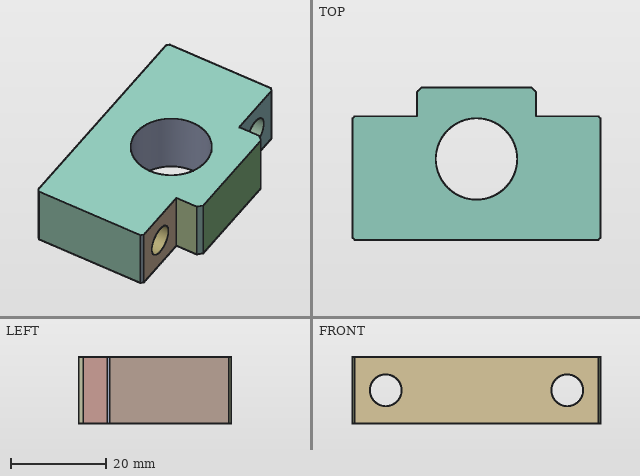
import cadquery as cq

length = 52.0
depth = 32.0
height = 14.0
tongue_width = 25.0
tongue_depth = 6.0
body_depth = depth - tongue_depth

body_chamfer = 0.5
tongue_chamfer = 1.0

bore_diameter = 17.0
bore_from_front = 17.0
hole_diameter = 6.6
hole_spacing = 38.0


def chamfered_block(width, block_depth, corners, chamfer):
    """Block resting on Z = 0, front face on Y = 0, with chosen vertical edges chamfered."""
    block = cq.Workplane("XY").box(width, block_depth, height, centered=(True, False, False))
    return block.edges(corners).chamfer(chamfer)


def mounting_holes():
    """Two through holes at mid-height, running the full depth."""
    return (
        cq.Workplane("XZ", origin=(0, 0, height / 2))
        .pushPoints([(side * hole_spacing / 2, 0) for side in (-1, 1)])
        .circle(hole_diameter / 2)
        .extrude(-depth)
    )


body = chamfered_block(length, body_depth, "|Z", body_chamfer)
tongue = chamfered_block(tongue_width, depth, "|Z and >Y", tongue_chamfer)
bore = (
    cq.Workplane("XY")
    .center(0, bore_from_front)
    .circle(bore_diameter / 2)
    .extrude(height)
)

result = body.union(tongue).cut(bore).cut(mounting_holes())